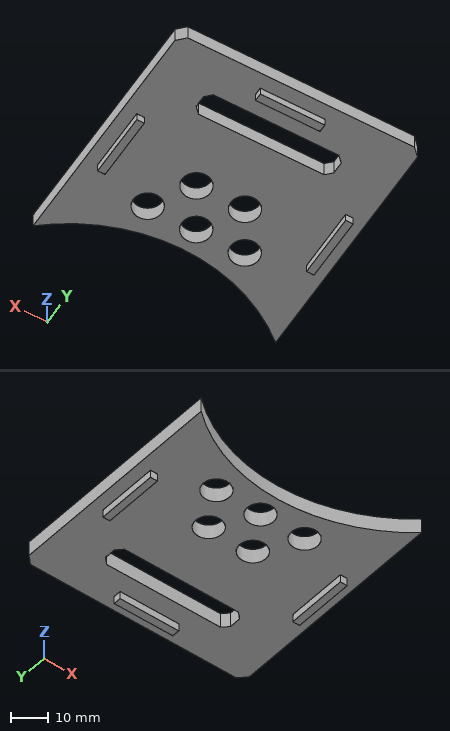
import cadquery as cq

width = 76.2
depth = 76.0
plate_thickness = 5.0
corner_chamfer = 2.5
arch_height = 14.1
back_y = depth / 2
front_y = -depth / 2

slot_length = 43.2
slot_width = 7.6
slot_chamfer = 1.9
slot_from_back = 16.8

hole_diameter = 8.9
hole_pitch = 15.25
hole_rows = [(2, 41.6), (3, 54.25)]

rib_height = 2.6
rib_length = 20.3
back_rib_width = 2.5
side_rib_width = 2.4
side_rib_inset = 4.1
back_rib_inset = 4.4
side_rib_from_back = 39.2


def make_plate():
    half = width / 2
    return (
        cq.Workplane("XY")
        .moveTo(-half, front_y)
        .threePointArc((0, front_y + arch_height), (half, front_y))
        .lineTo(half, back_y - corner_chamfer)
        .lineTo(half - corner_chamfer, back_y)
        .lineTo(-half + corner_chamfer, back_y)
        .lineTo(-half, back_y - corner_chamfer)
        .close()
        .extrude(plate_thickness)
    )


def make_slot():
    return (
        cq.Workplane("XY")
        .center(0, back_y - slot_from_back)
        .rect(slot_length, slot_width)
        .extrude(plate_thickness)
        .edges("|Z")
        .chamfer(slot_chamfer)
    )


def make_hole_row(count, from_back):
    first_x = -hole_pitch * (count - 1) / 2
    centres = [(first_x + i * hole_pitch, back_y - from_back) for i in range(count)]
    return (
        cq.Workplane("XY")
        .pushPoints(centres)
        .circle(hole_diameter / 2)
        .extrude(plate_thickness)
    )


def make_rib(x, y, size_x, size_y):
    return cq.Workplane("XY").center(x, y).rect(size_x, size_y).extrude(-rib_height)


result = make_plate().cut(make_slot())
for hole_count, row_from_back in hole_rows:
    result = result.cut(make_hole_row(hole_count, row_from_back))

back_rib_y = back_y - back_rib_inset - back_rib_width / 2
result = result.union(make_rib(0, back_rib_y, rib_length, back_rib_width))
side_rib_x = width / 2 - side_rib_inset - side_rib_width / 2
for side in (-1, 1):
    rib = make_rib(side * side_rib_x, back_y - side_rib_from_back, side_rib_width, rib_length)
    result = result.union(rib)